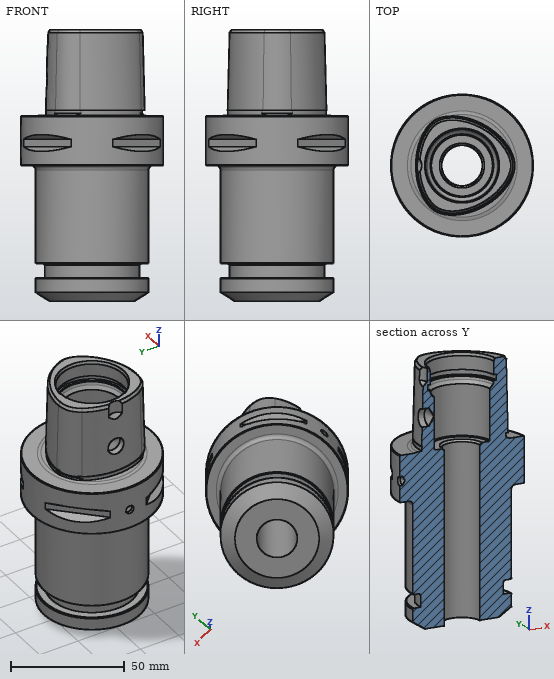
import cadquery as cq
import math

TOTAL_HEIGHT = 120.0
FLANGE_BOTTOM = 60.0
FLANGE_TOP = 82.0
COLLAR_TOP = 10.5
BODY_BOTTOM = 16.7

FLANGE_RADIUS = 63.0 / 2
BODY_RADIUS = 50.0 / 2
GROOVE_RADIUS = 42.0 / 2
NOSE_RADIUS = 18.6
NOSE_CONE_HEIGHT = 4.1
BODY_CHAMFER = 0.5
FLANGE_CHAMFER = 0.4
BODY_FILLET = 1.9
GROOVE_CORNER = 0.6

RING_OUTER_RADIUS = 24.2
RING_INNER_RADIUS = 22.7
RING_HEIGHT = 0.4
NECK_HEIGHT = 2.4
NECK_INSET = 0.1
NECK_OVERLAP = 1.2
RELIEF_RADIUS = 22.3
RELIEF_FLARE_HEIGHT = 1.2

SHANK_MEAN_RADIUS = 22.0
LOBE_HEIGHT = 1.5
TAPER_SLOPE = 1 / 40
SHANK_CHAMFER_HEIGHT = 1.5
SHANK_CHAMFER_WIDTH = 1.0
LOBE_COUNT = 3
LOBE_FACE_ANGLE = 54.0
POINTS_PER_FACE = 9

MOUTH_RADIUS = 33.0 / 2
UPPER_BORE_RADIUS = 32.0 / 2
LOWER_BORE_RADIUS = 28.0 / 2
THROUGH_RADIUS = 17.9 / 2
MOUTH_CHAMFER_HEIGHT = 1.5
INNER_GROOVE_RADIUS = 17.3
INNER_GROOVE_TOP_DEPTH = 7.8
INNER_GROOVE_BOTTOM_DEPTH = 10.3
SHOULDER_RADIUS = 15.5
SHOULDER_TOP_DEPTH = 10.9
SHOULDER_MIDDLE_DEPTH = 12.1
SHOULDER_BOTTOM_DEPTH = 13.8
FLOOR_CORNER = 0.5
THROUGH_CHAMFER = 1.0

GRIP_LEVEL = FLANGE_TOP - 12.0
GRIP_FLOOR_DISTANCE = 27.8
GRIP_FLOOR_HEIGHT = 3.2
GRIP_FLANK_ANGLE = 30.0
GRIP_ANGLES = (45, 135, 225, 315)

SHANK_HOLE_RADIUS = 8.2 / 2
SHANK_HOLE_DEPTH = 3.4
SHANK_HOLE_LEVEL = 97.5
FLANGE_HOLE_RADIUS = 4.0 / 2
FLANGE_HOLE_DEPTH = 1.5
DRILL_POINT_ANGLE = 118.0
NOTCH_RADIUS = 4.5
NOTCH_AXIS_DISTANCE = 22.3
NOTCH_BOTTOM = 113.9


def mean_radius_at(z):
    """Mean radius of the tapered shank at height z."""
    return SHANK_MEAN_RADIUS - TAPER_SLOPE * (z - FLANGE_TOP)


def lobe_point(mean_radius, angle, z):
    """Point of the constant-width three-lobed curve whose normal has the given angle."""
    reach = mean_radius + LOBE_HEIGHT * math.cos(3 * angle)
    slide = 3 * LOBE_HEIGHT * math.sin(3 * angle)
    x = reach * math.cos(angle) + slide * math.sin(angle)
    y = reach * math.sin(angle) - slide * math.cos(angle)
    return cq.Vector(x, y, z)


def lobed_wire(mean_radius, z):
    """Closed three-lobed outline, split between the lobes and the flatter sides."""
    pitch = 2 * math.pi / LOBE_COUNT
    lobe_half = math.radians(LOBE_FACE_ANGLE) / 2
    spans = []
    for lobe in range(LOBE_COUNT):
        middle = lobe * pitch
        spans.append((middle - lobe_half, middle + lobe_half))
        spans.append((middle + lobe_half, middle + pitch - lobe_half))
    edges = []
    for start, end in spans:
        step = (end - start) / (POINTS_PER_FACE - 1)
        angles = [start + step * i for i in range(POINTS_PER_FACE)]
        points = [lobe_point(mean_radius, angle, z) for angle in angles]
        tangents = [cq.Vector(-math.sin(angle), math.cos(angle), 0) for angle in (start, end)]
        edges.append(cq.Edge.makeSpline(points, tangents=tangents))
    return cq.Wire.assembleEdges(edges)


def loft_between(lower_wire, upper_wire):
    """Straight-sided solid between two outlines."""
    return cq.Workplane(cq.Solid.makeLoft([lower_wire, upper_wire], True))


def make_shank():
    """Tapered shank with a chamfered top edge, standing on a straight neck."""
    foot = FLANGE_TOP - NECK_OVERLAP
    taper_start = FLANGE_TOP + NECK_HEIGHT
    taper_end = TOTAL_HEIGHT - SHANK_CHAMFER_HEIGHT
    start_radius = mean_radius_at(taper_start)
    end_radius = mean_radius_at(taper_end)
    end_wire = lobed_wire(end_radius, taper_end)
    neck_radius = start_radius - NECK_INSET
    neck = loft_between(lobed_wire(neck_radius, foot), lobed_wire(neck_radius, taper_start))
    taper = loft_between(lobed_wire(start_radius, taper_start), end_wire)
    tip = loft_between(end_wire, lobed_wire(end_radius - SHANK_CHAMFER_WIDTH, TOTAL_HEIGHT))
    return neck.cut(make_lobe_relief()).union(taper).union(tip)


def make_lobe_relief():
    """Ring that trims the lobes of the neck round, flaring out towards the raised ring."""
    ring_top = FLANGE_TOP + RING_HEIGHT
    return (
        cq.Workplane("XZ")
        .moveTo(FLANGE_RADIUS, FLANGE_TOP)
        .lineTo(RING_INNER_RADIUS, FLANGE_TOP)
        .lineTo(RING_INNER_RADIUS, ring_top)
        .lineTo(RELIEF_RADIUS, FLANGE_TOP + RELIEF_FLARE_HEIGHT)
        .lineTo(RELIEF_RADIUS, FLANGE_TOP + NECK_HEIGHT)
        .lineTo(FLANGE_RADIUS, FLANGE_TOP + NECK_HEIGHT)
        .close()
        .revolve(360, (0, 0, 0), (0, 1, 0))
    )


def make_turned_body():
    """Nose, collar, clamping groove, body, flange and the raised ring on its face."""
    fillet_middle = BODY_FILLET * (1 - math.sqrt(0.5))
    return (
        cq.Workplane("XZ")
        .moveTo(0, 0)
        .lineTo(NOSE_RADIUS, 0)
        .lineTo(BODY_RADIUS, NOSE_CONE_HEIGHT)
        .lineTo(BODY_RADIUS, COLLAR_TOP - BODY_CHAMFER)
        .lineTo(BODY_RADIUS - BODY_CHAMFER, COLLAR_TOP)
        .lineTo(GROOVE_RADIUS, COLLAR_TOP)
        .lineTo(GROOVE_RADIUS, BODY_BOTTOM - GROOVE_CORNER)
        .lineTo(GROOVE_RADIUS + GROOVE_CORNER, BODY_BOTTOM)
        .lineTo(BODY_RADIUS - BODY_CHAMFER, BODY_BOTTOM)
        .lineTo(BODY_RADIUS, BODY_BOTTOM + BODY_CHAMFER)
        .lineTo(BODY_RADIUS, FLANGE_BOTTOM - BODY_FILLET)
        .threePointArc(
            (BODY_RADIUS + fillet_middle, FLANGE_BOTTOM - fillet_middle),
            (BODY_RADIUS + BODY_FILLET, FLANGE_BOTTOM),
        )
        .lineTo(FLANGE_RADIUS - FLANGE_CHAMFER, FLANGE_BOTTOM)
        .lineTo(FLANGE_RADIUS, FLANGE_BOTTOM + FLANGE_CHAMFER)
        .lineTo(FLANGE_RADIUS, FLANGE_TOP - FLANGE_CHAMFER)
        .lineTo(FLANGE_RADIUS - FLANGE_CHAMFER, FLANGE_TOP)
        .lineTo(RING_OUTER_RADIUS, FLANGE_TOP)
        .lineTo(RING_INNER_RADIUS, FLANGE_TOP + RING_HEIGHT)
        .lineTo(0, FLANGE_TOP + RING_HEIGHT)
        .close()
        .revolve(360, (0, 0, 0), (0, 1, 0))
    )


def make_bore():
    """Stepped bore with an inner groove, narrowing to the hole that passes through."""
    top = TOTAL_HEIGHT
    return (
        cq.Workplane("XZ")
        .moveTo(0, 0)
        .lineTo(THROUGH_RADIUS, 0)
        .lineTo(THROUGH_RADIUS, FLANGE_TOP - THROUGH_CHAMFER)
        .lineTo(THROUGH_RADIUS + THROUGH_CHAMFER, FLANGE_TOP)
        .lineTo(LOWER_BORE_RADIUS - FLOOR_CORNER, FLANGE_TOP)
        .lineTo(LOWER_BORE_RADIUS, FLANGE_TOP + FLOOR_CORNER)
        .lineTo(LOWER_BORE_RADIUS, top - SHOULDER_BOTTOM_DEPTH)
        .lineTo(SHOULDER_RADIUS, top - SHOULDER_MIDDLE_DEPTH)
        .lineTo(UPPER_BORE_RADIUS, top - SHOULDER_TOP_DEPTH)
        .lineTo(UPPER_BORE_RADIUS, top - INNER_GROOVE_BOTTOM_DEPTH)
        .lineTo(INNER_GROOVE_RADIUS, top - INNER_GROOVE_BOTTOM_DEPTH)
        .lineTo(INNER_GROOVE_RADIUS, top - INNER_GROOVE_TOP_DEPTH)
        .lineTo(UPPER_BORE_RADIUS, top - INNER_GROOVE_TOP_DEPTH)
        .lineTo(UPPER_BORE_RADIUS, top - MOUTH_CHAMFER_HEIGHT)
        .lineTo(MOUTH_RADIUS, top)
        .lineTo(0, top)
        .close()
        .revolve(360, (0, 0, 0), (0, 1, 0))
    )


def make_grip_groove(angle):
    """Straight groove with sloping flanks across the flange, facing the given angle."""
    floor_half = GRIP_FLOOR_HEIGHT / 2
    run = FLANGE_RADIUS - GRIP_FLOOR_DISTANCE
    mouth_half = floor_half + run * math.tan(math.radians(GRIP_FLANK_ANGLE))
    return (
        cq.Workplane("XZ")
        .moveTo(GRIP_FLOOR_DISTANCE, GRIP_LEVEL - floor_half)
        .lineTo(FLANGE_RADIUS, GRIP_LEVEL - mouth_half)
        .lineTo(FLANGE_RADIUS, GRIP_LEVEL + mouth_half)
        .lineTo(GRIP_FLOOR_DISTANCE, GRIP_LEVEL + floor_half)
        .close()
        .extrude(FLANGE_RADIUS, both=True)
        .rotate((0, 0, 0), (0, 0, 1), angle)
    )


def make_side_hole(radius, depth, surface_distance, z):
    """Blind drilled hole in the -X side; the depth excludes the drill point."""
    spare = radius / 2
    point_depth = radius / math.tan(math.radians(DRILL_POINT_ANGLE / 2))
    inward = cq.Vector(1, 0, 0)
    start = cq.Vector(-surface_distance - spare, 0, z)
    barrel_end = cq.Vector(-surface_distance + depth, 0, z)
    barrel = cq.Solid.makeCylinder(radius, depth + spare, start, inward)
    point = cq.Solid.makeCone(radius, 0, point_depth, barrel_end, inward)
    return cq.Workplane(barrel).union(cq.Workplane(point))


def make_notch():
    """Drilled notch in the top of the shank, ending in a right-angled drill point."""
    bottom = cq.Vector(-NOTCH_AXIS_DISTANCE, 0, NOTCH_BOTTOM)
    up = cq.Vector(0, 0, 1)
    barrel = cq.Solid.makeCylinder(NOTCH_RADIUS, TOTAL_HEIGHT - NOTCH_BOTTOM, bottom, up)
    point = cq.Solid.makeCone(NOTCH_RADIUS, 0, NOTCH_RADIUS, bottom, -up)
    return cq.Workplane(barrel).union(cq.Workplane(point))


result = make_turned_body().union(make_shank()).cut(make_bore())
for grip_angle in GRIP_ANGLES:
    result = result.cut(make_grip_groove(grip_angle))

shank_wall = mean_radius_at(SHANK_HOLE_LEVEL) - LOBE_HEIGHT
result = result.cut(make_side_hole(SHANK_HOLE_RADIUS, SHANK_HOLE_DEPTH, shank_wall, SHANK_HOLE_LEVEL))
result = result.cut(make_side_hole(FLANGE_HOLE_RADIUS, FLANGE_HOLE_DEPTH, FLANGE_RADIUS, GRIP_LEVEL))
result = result.cut(make_notch())